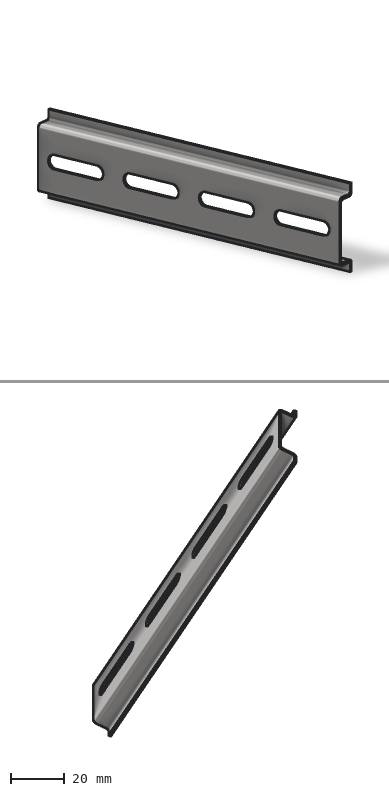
import cadquery as cq

length = 140.0
depth = 7.5
height = 35.0

thickness = 1.0
inner_bend = 0.8
outer_bend = inner_bend + thickness
web_height = 27.0

slot_count = 4
slot_pitch = length / slot_count
slot_length = 25.5
slot_width = 5.7


def box(depth_size, height_size, y_center, z_center):
    """Bar of rectangular section running the full length of the rail."""
    return cq.Workplane("XY").box(length, depth_size, height_size).translate((0, y_center, z_center))


def make_rail():
    """Bent hat section: front web, two side walls and two outward lips."""
    channel = box(depth, web_height, 0, 0)
    lips = box(thickness, height, (depth - thickness) / 2, 0)
    hollow_height = web_height - 2 * thickness
    hollow = box(depth, hollow_height, thickness, 0)
    hollow = hollow.edges("|X and <Y").fillet(inner_bend)
    rail = channel.edges("|X and <Y").fillet(outer_bend).union(lips).cut(hollow)

    lip_face = depth / 2 - thickness
    for side in (-1, 1):
        wall_outer = cq.selectors.NearestToPointSelector((0, lip_face, side * web_height / 2))
        rail = rail.edges("|X").edges(wall_outer).fillet(inner_bend)
        wall_inner = cq.selectors.NearestToPointSelector((0, depth / 2, side * hollow_height / 2))
        rail = rail.edges("|X").edges(wall_inner).fillet(outer_bend)
    return rail


def make_slots():
    """Row of obround slots through the web, one centred in each pitch."""
    return (
        cq.Workplane("XZ", origin=(0, thickness - depth / 2 + inner_bend, 0))
        .rarray(slot_pitch, 1.4, slot_count, 1)
        .slot2D(slot_length, slot_width)
        .extrude(depth)
    )


result = make_rail().cut(make_slots())